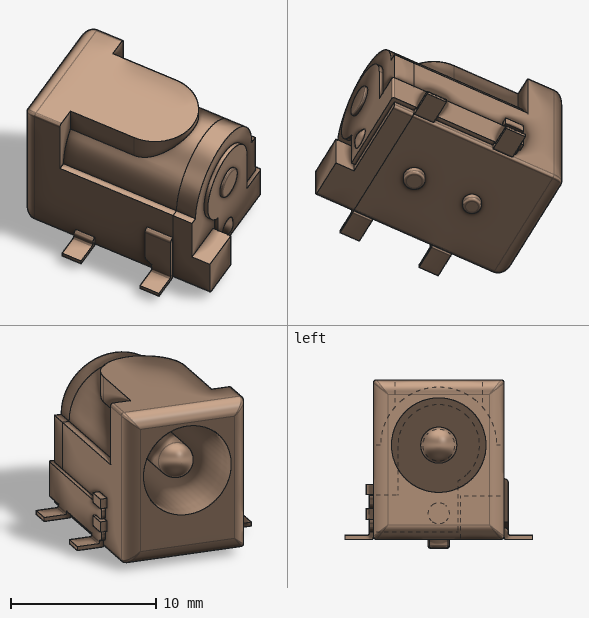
import cadquery as cq
import math


length = 14.8
body_width = 9.0
side_y = body_width / 2
face_height = 11.0
face_depth = 3.0
face_round = 1.0
edge_round = 0.2

axis_z = 6.5
barrel_radius = 4.0
cap_start = 11.9
cap_end = 13.4
tongue_half_width = 3.0
tongue_arc_x = 7.99

bore_radius = 3.25
pin_radius = 1.25
pin_tip_x = 1.0

pegs = [(5.02, 0.65), (9.5, 0.75)]
peg_length = 0.6
peg_round = 0.2

metal = 0.3
bend_round = 0.1
leg_span = 12.9
leg_reach = (leg_span - body_width) / 2
leg_width = 1.5
front_leg_x = 5.0
rear_leg_x = 11.13
short_height = 0.83
tall_height = 4.19
tall_start_x = 9.85
neck_low = 0.8
neck_high = 1.21

plate_front_x = 3.92
plate_bottom = 0.53
plate_top = 3.06
plate_end = cap_end + metal
corner_round = 0.15
finger_round = 0.28
disc_radius = 2.8
strap_edge_y = -1.32

ridge_start = 3.63
ridge_end = 5.02
ridge_thickness = 0.5
low_ridge = (1.38, 2.13)
high_ridge = (3.1, 3.8)

foot_width = 2.99
foot_height = 3.0
rivet_radius = 1.1
rivet_height = 0.2
rivet_round = 0.09
dimple_z = 1.8
dimple_radius = 1.0
dimple_height = 0.31


def block(x0, x1, y0, y1, z0, z1):
    return cq.Workplane("XY").box(x1 - x0, y1 - y0, z1 - z0, centered=False).translate((x0, y0, z0))


def rod(x0, x1, radius, z=axis_z):
    """A cylinder along X in the middle plane."""
    return cq.Workplane("YZ", origin=(x0, 0, z)).circle(radius).extrude(x1 - x0)


def barrel(x0, x1):
    """A straight-sided base with the round barrel on top."""
    return block(x0, x1, -side_y, side_y, 0, axis_z).union(rod(x0, x1, barrel_radius))


def leg(x0, x1, side, height):
    """An L-shaped sheet-metal leg against the wall; side is -1 for -Y and +1 for +Y."""
    inner_bend = metal + bend_round
    arc = math.sqrt(0.5)
    bent_leg = (
        cq.Workplane("YZ", origin=(x0, 0, 0))
        .moveTo(bend_round, 0)
        .lineTo(leg_reach, 0)
        .lineTo(leg_reach, metal)
        .lineTo(inner_bend, metal)
        .threePointArc(
            (inner_bend - bend_round * arc, inner_bend - bend_round * arc),
            (metal, inner_bend),
        )
        .lineTo(metal, height - metal)
        .threePointArc((metal * arc, height - metal + metal * arc), (0, height))
        .lineTo(0, bend_round)
        .threePointArc((bend_round * (1 - arc), bend_round * (1 - arc)), (bend_round, 0))
        .close()
        .extrude(x1 - x0)
    )
    if side < 0:
        bent_leg = bent_leg.mirror("XZ")
    return bent_leg.translate((0, side * side_y, 0))


def plain_leg(center_x, side):
    return leg(center_x - leg_width / 2, center_x + leg_width / 2, side, short_height)


def tall_terminal():
    """The rear -Y terminal: a wide upright plate that narrows to the leg."""
    end_x = rear_leg_x + leg_width / 2
    neck_x = rear_leg_x - leg_width / 2
    outline = (
        cq.Workplane("XZ")
        .polyline([
            (neck_x, 0),
            (end_x, 0),
            (end_x, tall_height),
            (tall_start_x, tall_height),
            (tall_start_x, neck_high),
            (neck_x, neck_low),
        ])
        .close()
        .extrude(leg_span)
    )
    return leg(tall_start_x, end_x, -1, tall_height).intersect(outline)


def tongue():
    straight = block(face_depth, tongue_arc_x, -tongue_half_width, tongue_half_width, axis_z, face_height)
    round_end = (
        cq.Workplane("XY", origin=(tongue_arc_x, 0, axis_z))
        .circle(tongue_half_width)
        .extrude(face_height - axis_z)
    )
    return straight.union(round_end)


def peg(x, radius):
    return (
        cq.Workplane("XY", origin=(x, 0, 0))
        .circle(radius)
        .extrude(-peg_length)
        .faces("<Z")
        .edges()
        .fillet(peg_round)
    )


def make_housing():
    body = block(0, face_depth, -side_y, side_y, 0, face_height)
    body = body.union(barrel(face_depth, cap_start))
    body = body.faces("<X").edges().fillet(face_round)
    body = body.edges("|X and <Z").fillet(edge_round)
    body = body.edges("|X and >Z").fillet(edge_round)
    body = body.union(tongue())
    body = body.cut(rod(0, cap_start, bore_radius))
    for x, radius in pegs:
        body = body.union(peg(x, radius))
    for bottom, top in (low_ridge, high_ridge):
        body = body.union(block(ridge_start, ridge_end, side_y, side_y + ridge_thickness, bottom, top))
    return body.union(plain_leg(front_leg_x, -1)).union(tall_terminal())


def contact_plate():
    """The +Y plate with two round-ended fingers, bent across the rear to a disc on the axis."""
    outer_y = side_y + metal
    plate = block(plate_front_x, plate_end, side_y, outer_y, plate_bottom, plate_top)
    plate = plate.cut(block(plate_front_x, ridge_end, side_y, outer_y, *low_ridge))
    plate = plate.faces("<X").edges("|Y").fillet(finger_round)

    rear = block(cap_end, plate_end, strap_edge_y, outer_y, plate_bottom, plate_top)
    plate = plate.union(rear).edges("|Z and >X and >Y").fillet(corner_round)
    riser = block(cap_end, plate_end, strap_edge_y, disc_radius, plate_bottom, axis_z)
    plate = plate.union(riser).union(rod(cap_end, plate_end, disc_radius))

    for x in (front_leg_x, rear_leg_x):
        plate = plate.union(plain_leg(x, 1))
    return plate


def center_pin():
    """A shaft on the barrel axis with a hemispherical tip, turned about that axis."""
    dome_x = pin_tip_x + pin_radius
    arc = pin_radius * math.sqrt(0.5)
    return (
        cq.Workplane("XZ", origin=(0, 0, axis_z))
        .moveTo(pin_tip_x, 0)
        .threePointArc((dome_x - arc, arc), (dome_x, pin_radius))
        .lineTo(cap_start, pin_radius)
        .lineTo(cap_start, 0)
        .close()
        .revolve(360, (0, 0, 0), (1, 0, 0))
    )


def rivet_head():
    head = rod(plate_end, plate_end + rivet_height, rivet_radius)
    return head.faces(">X").edges().fillet(rivet_round)


def dimple():
    """A shallow spherical bump low on the rear plate."""
    rim_radius = math.sqrt(dimple_height * (2 * dimple_radius - dimple_height))
    half_angle = math.asin(rim_radius / dimple_radius) / 2
    center_x = plate_end + dimple_height - dimple_radius
    middle = (
        center_x + dimple_radius * math.cos(half_angle),
        dimple_radius * math.sin(half_angle),
    )
    return (
        cq.Workplane("XZ", origin=(0, 0, dimple_z))
        .moveTo(plate_end, 0)
        .lineTo(plate_end, rim_radius)
        .threePointArc(middle, (plate_end + dimple_height, 0))
        .close()
        .revolve(360, (0, 0, 0), (1, 0, 0))
    )


def make_rear_cap():
    body = barrel(cap_start, cap_end)
    body = body.union(block(cap_end, length, -side_y, foot_width - side_y, 0, foot_height))
    body = body.edges("|X and <Z and (<Y or >Y)").fillet(edge_round)
    for detail in (center_pin(), contact_plate(), rivet_head(), dimple()):
        body = body.union(detail)
    return body


housing = make_housing()
rear_cap = make_rear_cap()
result = cq.Compound.makeCompound([housing.val(), rear_cap.val()])